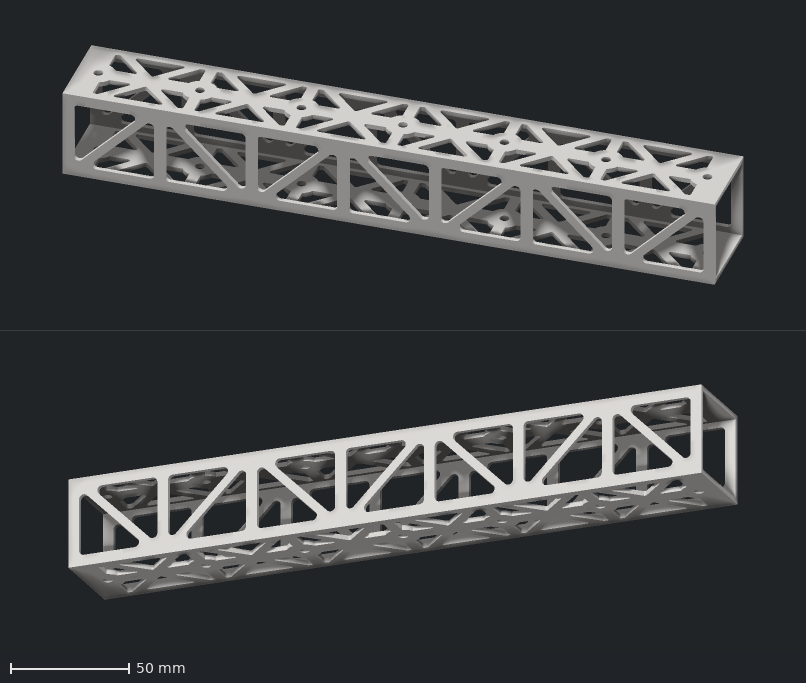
import cadquery as cq
import math

span = 232.8
section = 40.0
wall = 2.0
length = span * math.sqrt(2) - section
cut_depth = 2 * section

cell_count = 7
side_border = 5.0
side_post = 5.0
side_brace = 3.7
side_fillet = 2.0
cell_height = section - 2 * side_border
cell_length = (length - 2 * side_border - (cell_count - 1) * side_post) / cell_count
cell_pitch = cell_length + side_post

hole_count = 7
hole_diameter = 4.2
hole_end_distance = 9.5
hole_pitch = (length - 2 * hole_end_distance) / (hole_count - 1)
bay_post = 5.0
bay_border = 4.0
spine_half_width = 4.0
bay_brace = 4.0
bay_apex = 4.0
hole_boss_radius = 7.5
bay_fillet = 1.0
bay_half_length = (hole_pitch - bay_post) / 2
bay_half_width = section / 2 - bay_border


def prism(plane, axis, points, fillet):
    """Long prism along an axis, centred on a plane, with its lengthwise edges rounded."""
    body = cq.Workplane(plane).polyline(points).close().extrude(cut_depth / 2, both=True)
    return body.edges("|" + axis).fillet(fillet)


def hole_row(radius):
    """One upright cylinder at every hole position."""
    centers = cq.Workplane("XY").rarray(hole_pitch, 2.3, hole_count, 1)
    return centers.circle(radius).extrude(cut_depth / 2, both=True)


def side_openings():
    """Two right triangles per cell; the brace between them alternates in direction."""
    leg = (cell_length + cell_height - side_brace * math.sqrt(2)) / 2
    half_length = cell_length / 2
    half_height = cell_height / 2
    openings = cq.Workplane("XZ")
    for index in range(cell_count):
        center = (index - (cell_count - 1) / 2) * cell_pitch
        lean = 1 if index % 2 == 0 else -1
        for end in (1, -1):
            corner_x = center - end * lean * half_length
            corner_z = end * half_height
            triangle = [
                (corner_x, corner_z),
                (corner_x + end * lean * leg, corner_z),
                (corner_x, corner_z - end * leg),
            ]
            openings = openings.add(prism("XZ", "Y", triangle, side_fillet))
    return openings


def bay_openings():
    """Two triangles and four boss-clearing triangles around the X brace of each bay."""
    brace_run = bay_brace * math.sqrt(2)
    corner_shift = brace_run - bay_apex
    triangle_half_base = bay_half_width - bay_apex
    hole_bosses = hole_row(hole_boss_radius)
    openings = cq.Workplane("XY")
    for index in range(hole_count - 1):
        center = (index - (hole_count - 2) / 2) * hole_pitch
        for side in (1, -1):
            triangle = [
                (center, side * bay_apex),
                (center + triangle_half_base, side * bay_half_width),
                (center - triangle_half_base, side * bay_half_width),
            ]
            openings = openings.add(prism("XY", "Z", triangle, bay_fillet))
            for end in (1, -1):
                corner = [
                    (spine_half_width + corner_shift, spine_half_width),
                    (bay_half_length, spine_half_width),
                    (bay_half_length, bay_half_width),
                    (bay_half_width + corner_shift, bay_half_width),
                ]
                placed = [(center + end * x, side * y) for x, y in corner]
                openings = openings.add(prism("XY", "Z", placed, bay_fillet).cut(hole_bosses))
    return openings


inner_section = section - 2 * wall
tube = cq.Workplane("YZ").rect(section, section).extrude(length / 2, both=True)
bore = cq.Workplane("YZ").rect(inner_section, inner_section).extrude(length / 2, both=True)

frame = tube.cut(bore).cut(hole_row(hole_diameter / 2))
for opening in side_openings().vals() + bay_openings().vals():
    frame = frame.cut(cq.Workplane(opening))

result = frame.rotate((0, 0, 0), (0, 0, 1), 45)